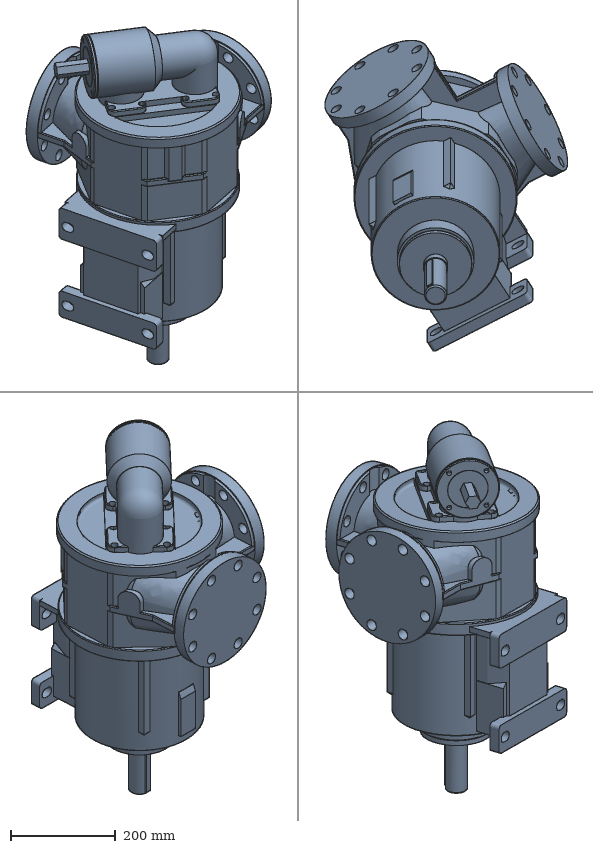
import cadquery as cq
import math


cover_radius = 158.39
cover_top = 106.3
cover_bottom = 83.6
cover_edge_chamfer = 3
recess_radius = 119
recess_depth = 12
recess_floor_fillet = 6
bar_half_width = 66
casing_bottom = -87.6
casing_flat = 144
casing_port_flat = 155
casing_diagonal_flat = 144
casing_edge_chamfer = 6
side_boss_width = 40
side_boss_top_width = 25
side_boss_height = 5.5
lower_ring_radius = 155.7
lower_ring_bottom = -113.7
ring_chamfer = 2

port_face = 225
port_flange_radius = 114
port_flange_thickness = 25
port_pad_radius = 112
port_pad_thickness = 7
pad_notch_radius = 20
port_bolt_circle = 96
port_bolt_hole = 22
port_bolt_count = 8
neck_radius = 66
bulge_end = 66
bulge_joint = 95
bulge_outer = 124
bulge_inner = 72
bulge_top = 83
bulge_bottom = -58
bulge_corner = 50
bulge_end_fillet = 26
web_half_thickness = 7.5
web_edge_chamfer = 2
web_ledge = 4
web_half_width = 112
web_flare_start = 141
web_flare_end = 60
lug_offset = 96
lug_radius = 21
lug_arc_height = 28

bracket_radius = 123
bracket_bottom = -339
bracket_chamfer = 2
corner_rib_x = 90
corner_rib_y = 98
corner_rib_bottom = -310
corner_rib_taper = 15
nameplate_face = 128
nameplate_half_width = 20
nameplate_top = -220
nameplate_bottom = -319
nameplate_taper = 14

foot_face = -180
foot_thickness = 22
foot_half_width = 110
foot_corner = 8
upper_foot_top = -95
upper_foot_bottom = -166
lower_foot_top = -285
lower_foot_bottom = -344.5
shelf_thickness = 12
foot_slot_x = 90
foot_slot_heights = (-134, -314.5)
foot_slot_length = 26
foot_slot_width = 20
column_base_half_width = 72
column_base_face = -126
column_waist_half_width = 64
column_waist_face = -158
column_face_half_width = 61
column_face = -169
box_half_width = 72.5
box_face = -163
box_top = -209
box_bottom = -331
box_chamfer = 16

hub_radius = 73
hub_bottom = -370
seal_groove_radius = 66
seal_groove_width = 3
seal_ring_radius = 69
seal_ring_bottom = -383
collar_radius = 23
collar_bottom = -397
shaft_radius = 21.3
shaft_bottom = -506.27
shaft_chamfer = 3
key_face = 23.7
key_half_width = 6
key_top = -403
key_bottom = -501

valve_angle = 45
valve_axis_height = 185
valve_radius = 61.5
valve_front = -138
valve_back = -19
pipe_radius = 43.7
shoulder_step = 0.5
port_spacing = 72
cap_thickness = 8
cap_chamfer = 2
cap_recess_radius = 39
cap_recess_depth = 1
cap_bolt_circle = 51
cap_bolt_hole = 9
cap_bolt_depth = 10
cap_bolt_count = 4
stem_end = -200
stem_corner_diameter = 30
stem_sides = 6
valve_flange_top = 118.8
valve_flange_length = 74
valve_flange_width = 128
valve_flange_corner = 14
valve_flange_chamfer = 2
valve_bolt_spacing = (60, 100)
valve_bolt_hole = 14


def disc(radius, bottom, top):
    """Cylinder on the Z axis between two heights."""
    return cq.Workplane("XY").workplane(offset=bottom).circle(radius).extrude(top - bottom)


def block(x_range, y_range, z_range):
    """Box given by its limits along each axis."""
    size = [high - low for low, high in (x_range, y_range, z_range)]
    return cq.Workplane("XY").box(*size, centered=False).translate((x_range[0], y_range[0], z_range[0]))


def other_port(shape):
    """Copy of an inlet feature, mirrored in the diagonal plane onto the outlet."""
    return shape.rotate((0, 0, 0), (0, 0, 1), 45).mirror("XZ").rotate((0, 0, 0), (0, 0, 1), -45)


def make_cover():
    """Round cover with a recess on each side of a diagonal bar."""
    cover = disc(cover_radius, cover_bottom, cover_top).faces(">Z").edges().chamfer(cover_edge_chamfer)
    bar = cq.Workplane("XY").box(4 * recess_radius, 2 * bar_half_width, 4 * cover_top)
    bar = bar.rotate((0, 0, 0), (0, 0, 1), valve_angle)
    recess = disc(recess_radius, cover_top - recess_depth, 2 * cover_top).cut(bar)
    recess = recess.faces("<Z").edges("%CIRCLE").fillet(recess_floor_fillet)
    return cover.cut(recess)


def make_casing():
    """Eight-sided casing on its lower ring."""
    height = cover_bottom - casing_bottom
    sides = block(
        (-casing_port_flat, casing_flat),
        (-casing_flat, casing_port_flat),
        (casing_bottom, cover_bottom),
    )
    diagonal = cq.Workplane("XY").rect(2 * casing_diagonal_flat, 2 * casing_diagonal_flat).extrude(height)
    diagonal = diagonal.rotate((0, 0, 0), (0, 0, 1), 45).translate((0, 0, casing_bottom))
    casing = sides.intersect(diagonal).edges("|Z").chamfer(casing_edge_chamfer)
    casing = casing.intersect(disc(cover_radius, casing_bottom, cover_bottom))
    ring = disc(lower_ring_radius, lower_ring_bottom, casing_bottom).edges().chamfer(ring_chamfer)
    return casing.union(ring)


def make_side_boss():
    """Raised boss on the +X -Y corner of the casing, from the web up to the cover."""
    base = casing_diagonal_flat - casing_edge_chamfer
    crest = casing_diagonal_flat + side_boss_height
    outline = [
        (base, -side_boss_width / 2),
        (casing_diagonal_flat, -side_boss_width / 2),
        (crest, -side_boss_top_width / 2),
        (crest, side_boss_top_width / 2),
        (casing_diagonal_flat, side_boss_width / 2),
        (base, side_boss_width / 2),
    ]
    boss = cq.Workplane("XY").polyline(outline).close().extrude(cover_bottom)
    return boss.rotate((0, 0, 0), (0, 0, 1), -45)


def make_web_prism(height):
    """Plan shape of the web, extruded up from Z = 0."""
    side = web_half_width
    reach = port_face - port_flange_thickness
    ledge = (casing_diagonal_flat + web_ledge) * math.sqrt(2)
    outline = [
        (-reach, side),
        (-reach, -side),
        (-web_flare_start, -side),
        (-web_flare_end, -casing_flat),
        (ledge - casing_flat, -casing_flat),
        (casing_flat, casing_flat - ledge),
        (casing_flat, web_flare_end),
        (side, web_flare_start),
        (side, reach),
        (-side, reach),
        (-side, side),
    ]
    return cq.Workplane("XY").polyline(outline).close().extrude(height)


def make_web():
    """Flat web that ties both port flanges to the casing."""
    web = make_web_prism(2 * web_half_thickness).translate((0, 0, -web_half_thickness))
    return web.faces("<Z or >Z").edges().chamfer(web_edge_chamfer)


def make_inlet():
    """Inlet neck, its volute bulge, flange and lug, on the -X side."""
    flange_back = -port_face + port_flange_thickness
    flange = cq.Workplane("YZ").workplane(offset=-port_face).circle(port_flange_radius)
    flange = flange.extrude(port_flange_thickness)
    pad = cq.Workplane("YZ").workplane(offset=flange_back).circle(port_pad_radius).extrude(port_pad_thickness)
    pad = pad.intersect(block((-port_face, 0), (-port_face, port_face), (0, port_face)))
    notch = cq.Workplane("XY").center(flange_back + pad_notch_radius, 0).circle(pad_notch_radius)
    pad = pad.cut(notch.extrude(port_face))

    bulge_width = bulge_outer + bulge_inner
    bulge_height = bulge_top - bulge_bottom
    bulge_center = ((bulge_inner - bulge_outer) / 2, (bulge_top + bulge_bottom) / 2)
    pipe_section = cq.Sketch().circle(neck_radius)
    bulge_section = cq.Sketch().rect(bulge_width, bulge_height).vertices().fillet(bulge_corner)
    neck = cq.Workplane("YZ").placeSketch(
        pipe_section.moved(cq.Location(cq.Vector(0, 0, flange_back))),
        bulge_section.moved(cq.Location(cq.Vector(*bulge_center, -bulge_joint))),
    ).loft()
    bulge = cq.Workplane("YZ").workplane(offset=-bulge_joint).center(*bulge_center)
    bulge = bulge.placeSketch(bulge_section).extrude(bulge_joint - bulge_end)
    bulge = bulge.faces(">X").edges().fillet(bulge_end_fillet)

    lug = cq.Workplane("XZ").workplane(offset=casing_flat / 2).center(-lug_offset, 0)
    lug = lug.moveTo(-lug_radius, 0).lineTo(-lug_radius, lug_arc_height)
    lug = lug.threePointArc((0, lug_arc_height + lug_radius), (lug_radius, lug_arc_height))
    lug = lug.lineTo(lug_radius, 0).close().extrude(casing_flat / 2)
    lug = lug.intersect(make_web_prism(cover_bottom))
    return flange.union(pad).union(neck).union(bulge).union(lug)


def make_port_holes():
    """Ring of bolt holes through the inlet flange."""
    depth = port_flange_thickness + port_pad_thickness
    holes = cq.Workplane("YZ").workplane(offset=-port_face)
    holes = holes.polarArray(port_bolt_circle, 180 / port_bolt_count, 360, port_bolt_count)
    return holes.circle(port_bolt_hole / 2).extrude(depth)


def make_bracket():
    """Bearing bracket barrel with ribs, the corners of a square core, and a nameplate pad."""
    bracket = disc(bracket_radius, bracket_bottom, lower_ring_bottom)
    bracket = bracket.faces("<Z").edges().chamfer(bracket_chamfer)
    ribs = block(
        (-corner_rib_x, corner_rib_x),
        (-corner_rib_y, corner_rib_y),
        (corner_rib_bottom, lower_ring_bottom),
    )
    bracket = bracket.union(ribs.faces("<Z").edges().chamfer(corner_rib_taper))
    nameplate = [
        (0, nameplate_top),
        (bracket_radius, nameplate_top),
        (nameplate_face, nameplate_top - nameplate_taper),
        (nameplate_face, nameplate_bottom),
        (0, nameplate_bottom),
    ]
    pad = cq.Workplane("YZ").polyline(nameplate).close().extrude(nameplate_half_width, both=True)
    return bracket.union(pad)


def make_foot(bottom, top):
    """One bar-shaped foot with rounded corners, without its slots."""
    foot = block((-foot_half_width, foot_half_width), (foot_face, foot_face + foot_thickness), (bottom, top))
    return foot.edges("|Y").fillet(foot_corner)


def make_feet():
    """Both feet with the column, box and shelf that carry them."""
    feet = make_foot(lower_foot_bottom, lower_foot_top).union(make_foot(upper_foot_bottom, upper_foot_top))
    shelf = block(
        (-foot_half_width, foot_half_width),
        (foot_face + foot_thickness, 0),
        (upper_foot_top - shelf_thickness, upper_foot_top),
    )
    column_half = [
        (column_base_half_width, 0),
        (column_base_half_width, column_base_face),
        (column_waist_half_width, column_waist_face),
        (column_face_half_width, column_face),
    ]
    column_outline = column_half + [(-x, y) for x, y in reversed(column_half)]
    column = cq.Workplane("XY").workplane(offset=lower_foot_top).polyline(column_outline).close()
    column = column.extrude(upper_foot_top - lower_foot_top)
    box = block((-box_half_width, box_half_width), (box_face, 0), (box_bottom, box_top))
    box = box.faces(">Z").edges("|Y").chamfer(box_chamfer)
    feet = feet.union(shelf).union(column).union(box)
    for height in foot_slot_heights:
        slots = cq.Workplane("XZ").workplane(offset=-foot_face - foot_thickness).center(0, height)
        slots = slots.pushPoints([(-foot_slot_x, 0), (foot_slot_x, 0)])
        feet = feet.cut(slots.slot2D(foot_slot_length, foot_slot_width).extrude(foot_thickness))
    return feet


def make_shaft():
    """Hub, seal ring, collar and keyed shaft below the bracket."""
    hub = disc(hub_radius, hub_bottom, bracket_bottom)
    groove = disc(seal_groove_radius, hub_bottom - seal_groove_width, hub_bottom)
    seal_ring = disc(seal_ring_radius, seal_ring_bottom, hub_bottom - seal_groove_width)
    collar = disc(collar_radius, collar_bottom, seal_ring_bottom)
    shaft = disc(shaft_radius, shaft_bottom, collar_bottom).faces("<Z").edges().chamfer(shaft_chamfer)
    key = block((-key_half_width, key_half_width), (0, key_face), (key_bottom, key_top))
    return hub.union(groove).union(seal_ring).union(collar).union(shaft).union(key)


def make_pump():
    """Pump with casing, ports, bracket, feet and shaft in one solid."""
    inlet = make_inlet()
    pump = make_casing().union(make_web()).union(make_side_boss()).union(make_cover())
    pump = pump.union(inlet).union(other_port(inlet))
    holes = make_port_holes()
    pump = pump.cut(holes).cut(other_port(holes))
    return pump.union(make_bracket()).union(make_feet()).union(make_shaft())


def along_valve(radius, start, end):
    """Cylinder on the valve axis between two places along X."""
    plane = cq.Workplane("YZ", origin=(start, 0, valve_axis_height))
    return plane.circle(radius).extrude(end - start)


def make_valve():
    """Relief valve with an elbow, two flanged legs, end cap and hexagon stem."""
    shoulder = valve_radius - pipe_radius
    barrel = along_valve(valve_radius, valve_front + cap_thickness, valve_back + shoulder)
    barrel = barrel.faces(">X").edges().chamfer(shoulder - shoulder_step)
    cap = along_valve(valve_radius, valve_front, valve_front + cap_thickness).edges().chamfer(cap_chamfer)
    bolt_holes = cq.Workplane("YZ", origin=(valve_front, 0, valve_axis_height))
    bolt_holes = bolt_holes.polarArray(cap_bolt_circle, 45, 360, cap_bolt_count).circle(cap_bolt_hole / 2)
    stem = cq.Workplane("YZ", origin=(stem_end, 0, valve_axis_height))
    stem = stem.polygon(stem_sides, stem_corner_diameter).extrude(valve_front + cap_recess_depth - stem_end)
    elbow = cq.Workplane("XY").sphere(pipe_radius).translate((port_spacing, 0, valve_axis_height))
    recess = along_valve(cap_recess_radius, valve_front, valve_front + cap_recess_depth)
    valve = barrel.union(cap).cut(bolt_holes.extrude(cap_bolt_depth)).cut(recess).union(stem)
    valve = valve.union(along_valve(pipe_radius, valve_back, port_spacing)).union(elbow)
    for x in (-port_spacing, port_spacing):
        leg = disc(pipe_radius, cover_top, valve_axis_height)
        flange = cq.Workplane("XY").workplane(offset=cover_top).rect(valve_flange_length, valve_flange_width)
        flange = flange.extrude(valve_flange_top - cover_top).edges("|Z").fillet(valve_flange_corner)
        flange = flange.faces(">Z").edges().chamfer(valve_flange_chamfer)
        flange = flange.faces(">Z").workplane().rect(*valve_bolt_spacing, forConstruction=True)
        flange = flange.vertices().hole(valve_bolt_hole)
        valve = valve.union(leg.union(flange).translate((x, 0, 0)))
    bridge = block((-port_spacing, port_spacing), (-pipe_radius, pipe_radius), (cover_top, valve_flange_top))
    valve = valve.union(bridge)
    return valve.rotate((0, 0, 0), (0, 0, 1), valve_angle)


pump = make_pump()
valve = make_valve()
result = cq.Compound.makeCompound([pump.solids().val(), valve.solids().val()])